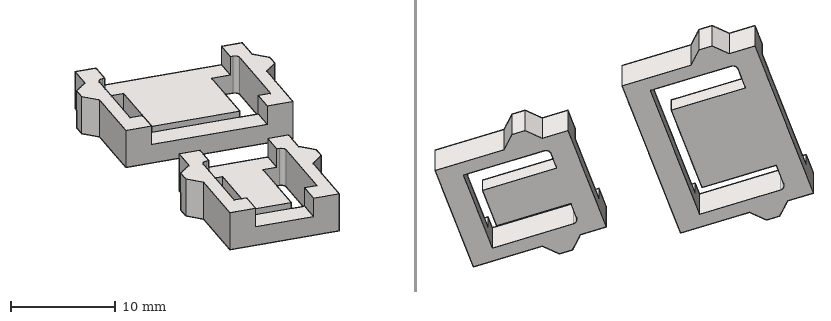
import cadquery as cq

TOTAL_SPAN = 33.5
FRAME_LENGTH = 13.5
FRAME_HEIGHT = 4.0
SIDE_WALL = 1.37
FRONT_BAR = 2.38
REAR_BAR = 2.4
FLOOR_HEIGHT = 2.0
TONGUE_REACH = 7.55
CORNER_RADIUS = 0.5

LUG_CENTER = 4.55
LUG_BASE = 3.9
LUG_TIP = 1.35
LUG_DEPTH = 1.35

FRONT_NOTCH_INSET = 2.15
REAR_NOTCH_INSET = 2.65

LARGE_WIDTH = 19.85 - 2 * LUG_DEPTH
LARGE_TONGUE_WIDTH = 9.05
SMALL_WIDTH = 11.25
SMALL_TONGUE_WIDTH = 4.15


def box(x_start, length, width, z_start, height):
    """Box starting at x_start and z_start, centred on Y = 0."""
    return (
        cq.Workplane("XY")
        .box(length, width, height, centered=(False, True, False))
        .translate((x_start, 0, z_start))
    )


def lug(frame_width, side):
    """Tapered full-height lug on the +Y (side = 1) or -Y (side = -1) face."""
    base_y = side * frame_width / 2
    tip_y = base_y + side * LUG_DEPTH
    return (
        cq.Workplane("XY")
        .polyline([
            (LUG_CENTER - LUG_BASE / 2, base_y),
            (LUG_CENTER - LUG_TIP / 2, tip_y),
            (LUG_CENTER + LUG_TIP / 2, tip_y),
            (LUG_CENTER + LUG_BASE / 2, base_y),
        ])
        .close()
        .extrude(FRAME_HEIGHT)
    )


def frame(width, tongue_width):
    """Rectangular frame with side lugs, lowered bars and an inner tongue."""
    body = box(0, FRAME_LENGTH, width, 0, FRAME_HEIGHT)
    for side in (-1, 1):
        body = body.union(lug(width, side))

    window_length = FRAME_LENGTH - FRONT_BAR - REAR_BAR
    window = box(FRONT_BAR, window_length, width - 2 * SIDE_WALL, 0, FRAME_HEIGHT)
    window = window.edges("|Z and <X").fillet(CORNER_RADIUS)
    body = body.cut(window)

    notch_depth = FRAME_HEIGHT - FLOOR_HEIGHT
    front_notch = box(0, FRONT_BAR, width - 2 * FRONT_NOTCH_INSET, FLOOR_HEIGHT, notch_depth)
    rear_notch = box(
        FRAME_LENGTH - REAR_BAR, REAR_BAR, width - 2 * REAR_NOTCH_INSET, FLOOR_HEIGHT, notch_depth
    )
    body = body.cut(front_notch).cut(rear_notch)

    return body.union(box(FRONT_BAR, TONGUE_REACH, tongue_width, 0, FLOOR_HEIGHT))


large_frame = frame(LARGE_WIDTH, LARGE_TONGUE_WIDTH)
small_frame = frame(SMALL_WIDTH, SMALL_TONGUE_WIDTH).translate((TOTAL_SPAN - FRAME_LENGTH, 0, 0))

result = cq.Compound.makeCompound([large_frame.val(), small_frame.val()])